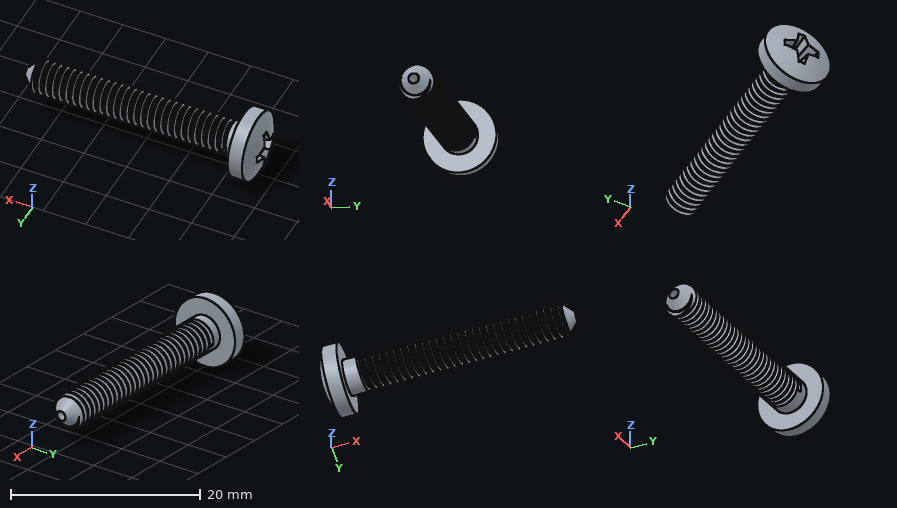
import cadquery as cq
import math

HEAD_DIAMETER = 7.98
HEAD_HEIGHT = 2.8
DOME_HEIGHT = 1.1
LENGTH_UNDER_HEAD = 25.4
TOTAL_LENGTH = HEAD_HEIGHT + LENGTH_UNDER_HEAD
SEAM_ANGLE = 45.0

SHANK_DIAMETER = 4.0
BORE_DIAMETER = 1.1
TIP_CONE_LENGTH = (SHANK_DIAMETER - BORE_DIAMETER) / 2

PITCH = 25.4 / 32
THREAD_DEPTH = 0.5413 * PITCH
ROOT_WIDTH = 0.24
CREST_WIDTH = 0.16
FLANK_SLOPE = (PITCH - ROOT_WIDTH - CREST_WIDTH) / 2 / THREAD_DEPTH
THREAD_START = HEAD_HEIGHT + 1.45
START_ANGLE = -15.0
PIECE_LENGTH = 3 * PITCH
GROOVE_OVERCUT = 0.1

RECESS_DEPTH = 2.4
RECESS_RIM_DEPTH = 2.0
RECESS_FLOOR_RADIUS = 1.43
CROWN_WING = {"reach": 2.14, "tip": 0.4, "root": 1.70, "root_half": 0.45, "corner": 0.69}
FLOOR_WING = {"reach": 1.30, "tip": 0.12, "root": 1.05, "root_half": 0.18, "corner": 0.42}


def revolve_about_x(profile):
    """Turn a closed (x, radius) profile lying in the XY plane about the X axis."""
    return profile.revolve(360, (0, 0, 0), (1, 0, 0))


def dome_depth(radius):
    """Distance of the domed face behind its crown at a given radius."""
    sphere_radius = ((HEAD_DIAMETER / 2) ** 2 + DOME_HEIGHT**2) / (2 * DOME_HEIGHT)
    return sphere_radius - math.sqrt(sphere_radius**2 - radius**2)


def make_body():
    """Head, shank and tip as one ring profile around the bore, which runs out at the tip's edge."""
    head_radius = HEAD_DIAMETER / 2
    shank_radius = SHANK_DIAMETER / 2
    bore_radius = BORE_DIAMETER / 2
    middle_radius = (head_radius + bore_radius) / 2
    profile = (
        cq.Workplane("XY")
        .moveTo(dome_depth(bore_radius), bore_radius)
        .threePointArc((dome_depth(middle_radius), middle_radius), (DOME_HEIGHT, head_radius))
        .lineTo(HEAD_HEIGHT, head_radius)
        .lineTo(HEAD_HEIGHT, shank_radius)
        .lineTo(TOTAL_LENGTH - TIP_CONE_LENGTH, shank_radius)
        .lineTo(TOTAL_LENGTH, bore_radius)
        .close()
    )
    return revolve_about_x(profile).rotate((0, 0, 0), (1, 0, 0), SEAM_ANGLE)


def make_groove_piece():
    """A few turns of the trapezoidal helical cutter, built along +Z and then laid along +X."""
    root_radius = SHANK_DIAMETER / 2 - THREAD_DEPTH
    outer_radius = SHANK_DIAMETER / 2 + GROOVE_OVERCUT
    root_half = ROOT_WIDTH / 2
    outer_half = root_half + (outer_radius - root_radius) * FLANK_SLOPE
    path = cq.Wire.makeHelix(PITCH, PIECE_LENGTH, root_radius)
    section = cq.Workplane("XZ").polyline([
        (root_radius, -root_half),
        (outer_radius, -outer_half),
        (outer_radius, outer_half),
        (root_radius, root_half),
    ]).close()
    groove = section.sweep(cq.Workplane(obj=path), isFrenet=True)
    laid = groove.rotate((0, 0, 0), (1, 1, 1), 120)
    return laid.rotate((0, 0, 0), (1, 0, 0), START_ANGLE)


def cut_thread(body):
    """Cut the groove piece by piece, end to end, until it runs out over the tip cone."""
    piece = make_groove_piece()
    thread_length = TOTAL_LENGTH - TIP_CONE_LENGTH / 2 - THREAD_START
    for index in range(math.ceil(thread_length / PIECE_LENGTH)):
        body = body.cut(piece.translate((THREAD_START + index * PIECE_LENGTH, 0, 0)))
    return body


def cross_outline(wing):
    """Points of a four-winged cross in the YZ plane, wing by wing."""
    quarter = [
        (wing["corner"], -wing["corner"]),
        (wing["root"], -wing["root_half"]),
        (wing["reach"], -wing["tip"]),
        (wing["reach"], wing["tip"]),
        (wing["root"], wing["root_half"]),
    ]
    points = []
    for quadrant in range(4):
        angle = quadrant * math.pi / 2
        cosine = math.cos(angle)
        sine = math.sin(angle)
        points += [(u * cosine - v * sine, u * sine + v * cosine) for u, v in quarter]
    return points


def make_recess():
    cross = (
        cq.Workplane("YZ")
        .polyline(cross_outline(CROWN_WING))
        .close()
        .workplane(offset=RECESS_DEPTH)
        .polyline(cross_outline(FLOOR_WING))
        .close()
        .loft(ruled=True)
    )
    envelope = revolve_about_x(cq.Workplane("XY").polyline([
        (0, 0),
        (0, HEAD_DIAMETER / 2),
        (RECESS_RIM_DEPTH, HEAD_DIAMETER / 2),
        (RECESS_RIM_DEPTH, RECESS_FLOOR_RADIUS),
        (RECESS_DEPTH, BORE_DIAMETER / 2),
        (RECESS_DEPTH, 0),
    ]).close())
    return cross.intersect(envelope)


result = cut_thread(make_body()).cut(make_recess())